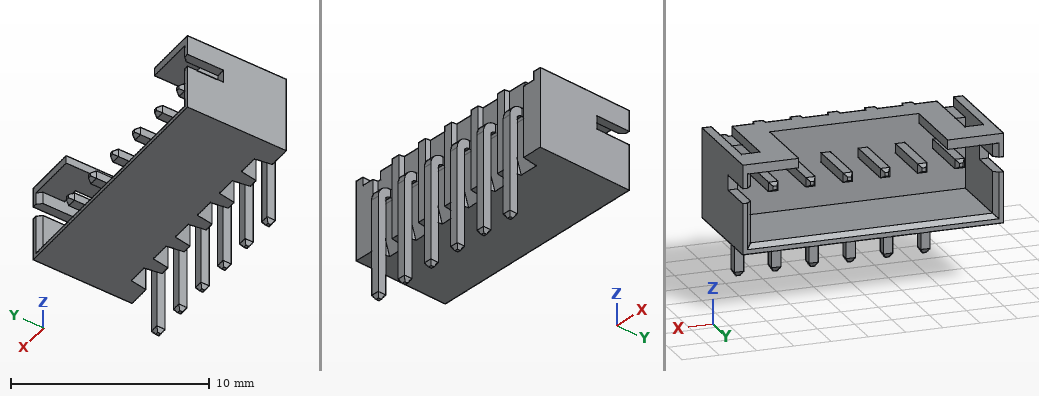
import cadquery as cq
import math

LENGTH = 14.0
DEPTH = 5.99
HEIGHT = 4.8

PIN_COUNT = 6
PITCH = LENGTH / (PIN_COUNT + 1)
PIN_SIZE = 0.5
PIN_AXIS_Z = 3.1
PIN_TIP_Y = 5.25
PIN_BOTTOM_Z = -3.4
TIP_LENGTH = 0.25
TIP_INSET = 0.15
BEND_INNER_RADIUS = 0.25

CAVITY_FLOOR_Y = 1.75
SIDE_WALL = 0.5
TOP_WALL = 0.5
BOTTOM_WALL = 0.5
LEAD_IN = 0.25

TOP_NOTCH_WIDTH = (PIN_COUNT - 2) * PITCH
WINDOW_END_Y = 3.81
WINDOW_BOTTOM_Z = 2.75
WINDOW_TOP_Z = 3.54
SLOT_WIDTH = 1.0
SLOT_END_Y = 4.42

RECESS_DEPTH = 0.31
RECESS_MOUTH_WIDTH = 1.47
RECESS_DRAFT_ANGLE = 9.0
RECESS_SLOPE_TOP_Z = 2.63
RECESS_BOTTOM_DEPTH = 1.0


def box(x_range, y_range, z_range):
    """Axis-aligned box between the given limits."""
    x0, x1 = x_range
    y0, y1 = y_range
    z0, z1 = z_range
    return cq.Workplane("XY").box(x1 - x0, y1 - y0, z1 - z0, centered=False).translate((x0, y0, z0))


def pin_positions():
    """X positions of the pin row."""
    return [(i - (PIN_COUNT - 1) / 2) * PITCH for i in range(PIN_COUNT)]


def make_cavity():
    """Mating cavity open at +Y, flared at its mouth along the side and bottom walls."""
    width = LENGTH - 2 * SIDE_WALL
    height = HEIGHT - TOP_WALL - BOTTOM_WALL
    cavity = box((-width / 2, width / 2), (CAVITY_FLOOR_Y, DEPTH), (BOTTOM_WALL, BOTTOM_WALL + height))
    flare = (
        cq.Workplane("XZ", origin=(0, DEPTH - LEAD_IN, BOTTOM_WALL + height / 2))
        .rect(width, height)
        .workplane(offset=-LEAD_IN)
        .center(0, -LEAD_IN / 2)
        .rect(width + 2 * LEAD_IN, height + LEAD_IN)
        .loft(ruled=True)
    )
    return cavity.union(flare)


def make_recess(x):
    """Drafted recess behind one pin, deepening towards the underside."""
    draft = math.tan(math.radians(RECESS_DRAFT_ANGLE))
    mouth = RECESS_MOUTH_WIDTH / 2
    inner = mouth - RECESS_BOTTOM_DEPTH * draft
    wedge = (
        cq.Workplane("XY")
        .polyline([(-mouth, 0), (mouth, 0), (inner, RECESS_BOTTOM_DEPTH), (-inner, RECESS_BOTTOM_DEPTH)])
        .close()
        .extrude(HEIGHT)
    )
    side_profile = (
        cq.Workplane("YZ")
        .polyline([
            (0, 0),
            (RECESS_BOTTOM_DEPTH, 0),
            (RECESS_DEPTH, RECESS_SLOPE_TOP_Z),
            (RECESS_DEPTH, HEIGHT),
            (0, HEIGHT),
        ])
        .close()
        .extrude(mouth, both=True)
    )
    return wedge.intersect(side_profile).translate((x, 0, 0))


def make_pin(x):
    """Right-angle square pin with a tapered tip at each end."""
    half = PIN_SIZE / 2
    top_z = PIN_AXIS_Z + half
    low_z = PIN_AXIS_Z - half
    outer_radius = BEND_INNER_RADIUS + PIN_SIZE
    bend_y = BEND_INNER_RADIUS
    bend_z = low_z - BEND_INNER_RADIUS
    diagonal = math.sqrt(0.5)
    straight_end_y = PIN_TIP_Y - TIP_LENGTH
    straight_end_z = PIN_BOTTOM_Z + TIP_LENGTH

    body = (
        cq.Workplane("YZ")
        .moveTo(straight_end_y, top_z)
        .lineTo(bend_y, top_z)
        .threePointArc(
            (bend_y - outer_radius * diagonal, bend_z + outer_radius * diagonal),
            (-PIN_SIZE, bend_z),
        )
        .lineTo(-PIN_SIZE, straight_end_z)
        .lineTo(0, straight_end_z)
        .lineTo(0, bend_z)
        .threePointArc(
            (bend_y - BEND_INNER_RADIUS * diagonal, bend_z + BEND_INNER_RADIUS * diagonal),
            (bend_y, low_z),
        )
        .lineTo(straight_end_y, low_z)
        .close()
        .extrude(half, both=True)
    )
    tip_size = PIN_SIZE - 2 * TIP_INSET
    tip = (
        cq.Workplane("XY")
        .rect(PIN_SIZE, PIN_SIZE)
        .workplane(offset=TIP_LENGTH)
        .rect(tip_size, tip_size)
        .loft(ruled=True)
    )
    mating_tip = tip.rotate((0, 0, 0), (1, 0, 0), -90).translate((0, straight_end_y, PIN_AXIS_Z))
    solder_tip = tip.rotate((0, 0, 0), (1, 0, 0), 180).translate((0, -half, straight_end_z))
    return body.union(mating_tip).union(solder_tip).translate((x, 0, 0))


def make_housing(pins):
    """Shrouded housing with a fitted hole for every pin."""
    half_length = LENGTH / 2
    housing = box((-half_length, half_length), (0, DEPTH), (0, HEIGHT))
    housing = housing.cut(make_cavity())

    half_notch = TOP_NOTCH_WIDTH / 2
    notch = box((-half_notch, half_notch), (CAVITY_FLOOR_Y, DEPTH), (HEIGHT - TOP_WALL, HEIGHT))
    housing = housing.cut(notch)

    windows = box((-half_length, half_length), (WINDOW_END_Y, DEPTH), (WINDOW_BOTTOM_Z, WINDOW_TOP_Z))
    housing = housing.cut(windows)

    slot_outer = half_length - SIDE_WALL
    slot = box((slot_outer - SLOT_WIDTH, slot_outer), (0, SLOT_END_Y), (HEIGHT - TOP_WALL, HEIGHT))
    housing = housing.cut(slot).cut(slot.mirror("YZ"))

    for x in pin_positions():
        housing = housing.cut(make_recess(x))
    for pin in pins:
        housing = housing.cut(pin)
    return housing


pins = [make_pin(x) for x in pin_positions()]
housing = make_housing(pins)
result = cq.Compound.makeCompound([housing.val(), *[pin.val() for pin in pins]])